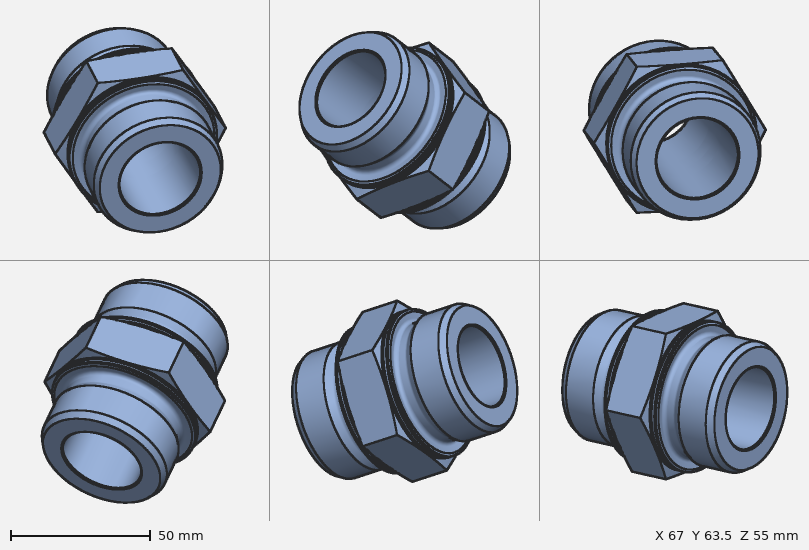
import cadquery as cq
import math

length = 67.0
half_length = length / 2
bore_radius = 30.0 / 2
bore_chamfer = 0.5

spigot_radius = 48.0 / 2
neck_radius = 44.4 / 2
end_chamfer_length = 2.75
end_chamfer_depth = 1.5
spigot_length = 14.7
runout_angle = math.radians(30)
runout_blend = 0.5
neck_fillet = 1.5
neck_end = 20.8

collar_radius = 54.95 / 2
seal_edge_radius = 26.4
collar_start = 22.2
seal_face_angle = math.radians(9)
groove_start = 22.9
groove_end = 24.1
groove_depth = 0.3

across_flats = 55.0
hex_width = 17.0
hex_corner_radius = across_flats / math.sqrt(3)
hex_chamfer_angle = math.radians(13.5)
envelope_margin = 0.7


def make_half_body():
    """Revolved left half of the fitting, from the end face to the middle plane."""
    runout_end = spigot_length + (spigot_radius - neck_radius) / math.tan(runout_angle)
    blend_before = runout_blend * math.cos(runout_angle)
    blend_rise = runout_blend * math.sin(runout_angle)
    blend_radius = runout_blend / math.tan(runout_angle / 2)
    blend_mid = (
        runout_end + runout_blend - blend_radius * math.sin(runout_angle / 2),
        neck_radius + blend_radius * (1 - math.cos(runout_angle / 2)),
    )
    fillet_turn = math.pi / 2 + seal_face_angle
    fillet_center_radius = neck_radius + neck_fillet

    def fillet_point(turn):
        return (
            neck_end + neck_fillet * math.sin(turn),
            fillet_center_radius - neck_fillet * math.cos(turn),
        )

    fillet_end = fillet_point(fillet_turn)
    seal_edge = (
        fillet_end[0] - (seal_edge_radius - fillet_end[1]) * math.tan(seal_face_angle),
        seal_edge_radius,
    )
    groove_mid = ((groove_start + groove_end) / 2, collar_radius - groove_depth)

    profile = (
        cq.Workplane("XY")
        .moveTo(0, bore_radius + bore_chamfer)
        .lineTo(0, spigot_radius - end_chamfer_depth)
        .lineTo(end_chamfer_length, spigot_radius)
        .lineTo(spigot_length, spigot_radius)
        .lineTo(runout_end - blend_before, neck_radius + blend_rise)
        .threePointArc(blend_mid, (runout_end + runout_blend, neck_radius))
        .lineTo(neck_end, neck_radius)
        .threePointArc(fillet_point(fillet_turn / 2), fillet_end)
        .lineTo(*seal_edge)
        .lineTo(collar_start, collar_radius)
        .lineTo(groove_start, collar_radius)
        .threePointArc(groove_mid, (groove_end, collar_radius))
        .lineTo(half_length, collar_radius)
        .lineTo(half_length, bore_radius)
        .lineTo(bore_chamfer, bore_radius)
        .close()
    )
    body = profile.revolve(360, (0, 0, 0), (1, 0, 0))
    return body.translate((-half_length, 0, 0))


def make_hexagon():
    """Hexagon with corners on the Y axis, its end faces chamfered by cones, bored through."""
    half_width = hex_width / 2
    prism = (
        cq.Workplane("YZ")
        .polygon(6, 2 * hex_corner_radius)
        .circle(bore_radius)
        .extrude(half_width, both=True)
    )
    outer = hex_corner_radius + envelope_margin
    setback = (outer - collar_radius) * math.tan(hex_chamfer_angle)
    envelope = (
        cq.Workplane("XY")
        .polyline([
            (-half_width, 0),
            (-half_width, collar_radius),
            (-half_width + setback, outer),
            (half_width - setback, outer),
            (half_width, collar_radius),
            (half_width, 0),
        ])
        .close()
        .revolve(360, (0, 0, 0), (1, 0, 0))
    )
    return prism.intersect(envelope)


left_half = make_half_body()
right_half = left_half.mirror("YZ")
result = left_half.union(right_half).union(make_hexagon())